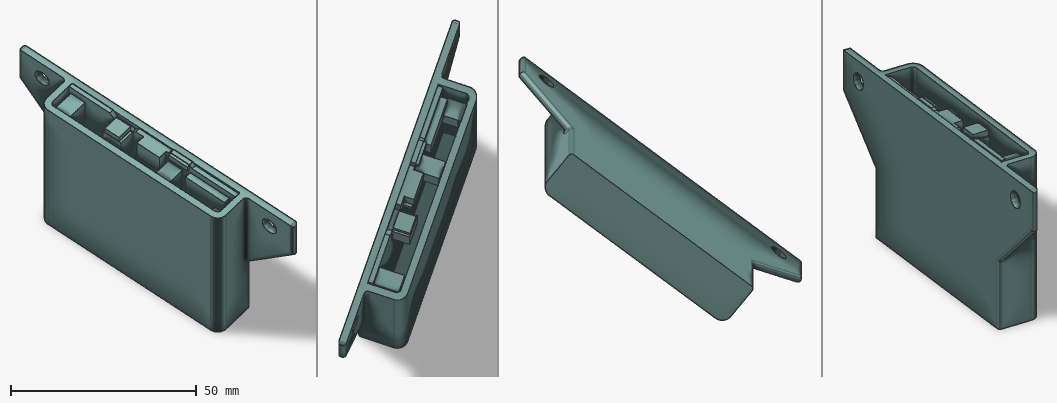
import cadquery as cq

WALL = 2.0
BACK_THICKNESS = 2.1
EAR_SPAN = 95.8
HOUSING_WIDTH = 62.6
HOUSING_DEPTH = 13.2
HOUSING_HEIGHT = 49.8
EDGE_RADIUS = 1.0
EAR_ROOT_RADIUS = 1.15
FRONT_RADIUS = 3.0
CAVITY_RADIUS = 1.2
EAR_END_HEIGHT = 12.45
HOLE_DIAMETER = 5.0
HOLE_SPACING = 79.3
HOLE_DROP = 6.2

CAVITY_WIDTH = HOUSING_WIDTH - 2 * WALL
CAVITY_DEPTH = HOUSING_DEPTH - WALL - BACK_THICKNESS

BOARD_WIDTH = 58.0
BOARD_THICKNESS = 1.4
BOARD_TOP = 50.1
NOTCH_DROP = 2.0
MIDDLE_DROP = 0.8
RIGHT_DROP = 1.0
HIGH_PART_END = -14.8
NOTCH_END = -7.0
TAB_LEFT = 6.4
TAB_RIGHT = 12.9

BOARD_BACK = -BACK_THICKNESS
BOARD_FRONT = BOARD_BACK - BOARD_THICKNESS

POST_SIZE = (5.0, 7.1, 7.7)
POST_PLACES = [(-25.95, 47.6), (8.0, 45.8), (25.95, 42.1)]

MODULE_CENTRE = 0.9
MODULE_TOP = 49.3
MODULE_SIZE = (7.9, 2.8, 5.9)
MODULE_FOOT_SIZE = (9.4, 2.4, 1.9)

SOCKET_CENTRE = 9.7
SOCKET_TOP = 49.9
SOCKET_SIZE = (6.6, 0.9, 1.7)

STRIP_CENTRE = 20.1
STRIP_TOP = 46.9
STRIP_SIZE = (13.7, 2.0, 7.7)

CONNECTOR_BASE_CENTRE = -10.0
CONNECTOR_BASE_SIZE = (6.3, 5.0, 7.7)
CONNECTOR_CAP_CENTRE = -10.1
CONNECTOR_CAP_SIZE = (5.0, 4.9, 1.7)


def board_mounted_block(centre_x, top_z, size):
    """Box with its back on the front face of the board and its top at top_z."""
    width, reach, height = size
    return (
        cq.Workplane("XY")
        .box(width, reach, height, centered=(True, False, False))
        .translate((centre_x, BOARD_FRONT - reach, top_z - height))
    )


def make_right_ear():
    """Ear with a 45 degree lower edge and rounded rims, starting inside the wall of the box."""
    inner_x = HOUSING_WIDTH / 2 - WALL / 2
    outer_x = EAR_SPAN / 2
    outer_bottom = HOUSING_HEIGHT - EAR_END_HEIGHT
    inner_bottom = outer_bottom - (outer_x - inner_x)
    plate = (
        cq.Workplane("XZ")
        .moveTo(inner_x, HOUSING_HEIGHT)
        .lineTo(outer_x, HOUSING_HEIGHT)
        .lineTo(outer_x, outer_bottom)
        .lineTo(inner_x, inner_bottom)
        .close()
        .extrude(BACK_THICKNESS)
    )
    top_corner = plate.edges("|Y").edges(">X").edges(">Z")
    rims = plate.faces("|Y").edges("not (<X or >Z)")
    ear = rims.add(top_corner).fillet(EDGE_RADIUS)

    hole = (
        cq.Workplane("XZ")
        .center(HOLE_SPACING / 2, HOUSING_HEIGHT - HOLE_DROP)
        .circle(HOLE_DIAMETER / 2)
        .extrude(BACK_THICKNESS)
    )
    return ear.cut(hole)


def make_housing():
    """Open-topped box with two mounting ears flush with its back."""
    body = (
        cq.Workplane("XY")
        .box(HOUSING_WIDTH, HOUSING_DEPTH, HOUSING_HEIGHT, centered=(True, False, False))
        .translate((0, -HOUSING_DEPTH, 0))
        .edges("|Z and <Y")
        .fillet(FRONT_RADIUS)
        .edges("|Z and >Y")
        .fillet(EDGE_RADIUS)
    )
    right_ear = make_right_ear()
    body = body.union(right_ear).union(right_ear.mirror("YZ"))

    margin = 0.1
    for side_x in (-HOUSING_WIDTH / 2, HOUSING_WIDTH / 2):
        root = cq.selectors.BoxSelector(
            (side_x - margin, -BACK_THICKNESS - margin, margin),
            (side_x + margin, -EDGE_RADIUS - margin, HOUSING_HEIGHT - margin),
        )
        body = body.edges(root).fillet(EAR_ROOT_RADIUS)

    cavity = (
        cq.Workplane("XY")
        .box(CAVITY_WIDTH, CAVITY_DEPTH, HOUSING_HEIGHT - WALL, centered=(True, False, False))
        .translate((0, WALL - HOUSING_DEPTH, WALL))
        .edges("|Z and <Y")
        .fillet(CAVITY_RADIUS)
    )
    return body.cut(cavity)


def make_board_plate():
    """Board standing on the cavity floor, its top edge stepped by 45 degree slopes."""
    half_width = BOARD_WIDTH / 2
    notch_level = BOARD_TOP - NOTCH_DROP
    middle_level = BOARD_TOP - MIDDLE_DROP
    right_level = BOARD_TOP - RIGHT_DROP
    return (
        cq.Workplane("XZ", origin=(0, BOARD_BACK, 0))
        .moveTo(-half_width, WALL)
        .lineTo(-half_width, BOARD_TOP)
        .lineTo(HIGH_PART_END, BOARD_TOP)
        .lineTo(HIGH_PART_END + NOTCH_DROP, notch_level)
        .lineTo(NOTCH_END, notch_level)
        .lineTo(NOTCH_END + NOTCH_DROP - MIDDLE_DROP, middle_level)
        .lineTo(TAB_LEFT - MIDDLE_DROP, middle_level)
        .lineTo(TAB_LEFT, BOARD_TOP)
        .lineTo(TAB_RIGHT, BOARD_TOP)
        .lineTo(TAB_RIGHT + RIGHT_DROP, right_level)
        .lineTo(half_width, right_level)
        .lineTo(half_width, WALL)
        .close()
        .extrude(BOARD_THICKNESS)
    )


def make_board():
    """Board together with the parts fixed to its front face."""
    board = make_board_plate()
    for centre_x, top_z in POST_PLACES:
        board = board.union(board_mounted_block(centre_x, top_z, POST_SIZE))

    module_foot_top = MODULE_TOP - MODULE_SIZE[2]
    board = board.union(board_mounted_block(MODULE_CENTRE, MODULE_TOP, MODULE_SIZE))
    board = board.union(board_mounted_block(MODULE_CENTRE, module_foot_top, MODULE_FOOT_SIZE))
    board = board.union(board_mounted_block(SOCKET_CENTRE, SOCKET_TOP, SOCKET_SIZE))
    return board.union(board_mounted_block(STRIP_CENTRE, STRIP_TOP, STRIP_SIZE))


def make_connector():
    """Connector seated against the board: a wide base with a narrower cap level with the board top."""
    base_top = BOARD_TOP - CONNECTOR_CAP_SIZE[2]
    cap = board_mounted_block(CONNECTOR_CAP_CENTRE, BOARD_TOP, CONNECTOR_CAP_SIZE)
    return cap.union(board_mounted_block(CONNECTOR_BASE_CENTRE, base_top, CONNECTOR_BASE_SIZE))


housing = make_housing()
board = make_board()
connector = make_connector()

result = cq.Compound.makeCompound([housing.val(), board.val(), connector.val()])